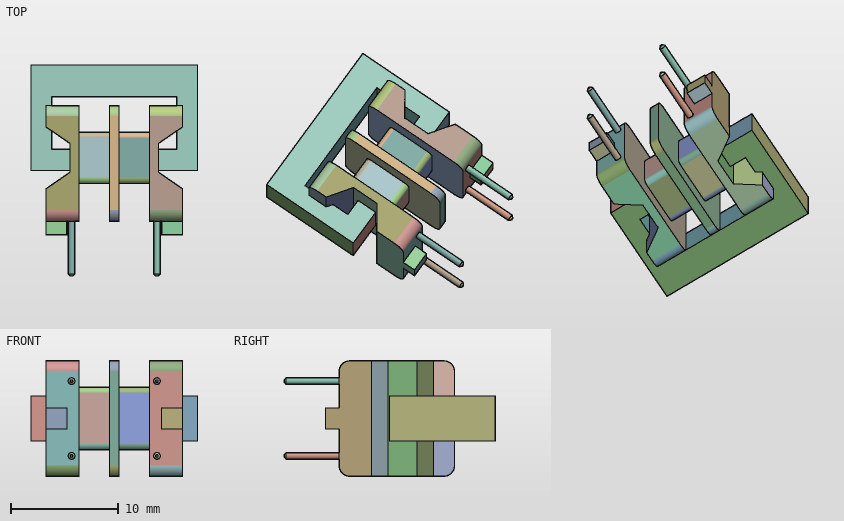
import cadquery as cq


overall_depth = 19.75

core_width = 15.6
core_height = 4.25
core_back = 14.62
core_front = 4.72
window_width = 11.65
window_back = 11.61
window_front = 6.73

flange_size = 10.8
flange_radius = 1.0
flange_outer = 6.38
flange_inner = 3.28
middle_flange_thickness = 0.9

notch_floor = 4.15
notch_center = 5.92
notch_mouth = 5.77
notch_floor_length = 2.69

tube_depth = 4.82
tube_height = 5.85
tube_radius = 0.53

tab_width = 1.95
tab_height = 1.98
tab_length = 1.28
pin_diameter = 0.63
pin_length = overall_depth - core_back
pin_tip_chamfer = 0.2
pin_x = 3.99
pin_z = 3.5


def box_between(x_min, x_max, y_min, y_max, height):
    """Box centred on Z = 0 with the given X and Y limits."""
    return (
        cq.Workplane("XY")
        .box(x_max - x_min, y_max - y_min, height)
        .translate(((x_min + x_max) / 2, (y_min + y_max) / 2, 0))
    )


def make_core():
    frame = box_between(-core_width / 2, core_width / 2, core_front, core_back, core_height)
    window = box_between(-window_width / 2, window_width / 2, window_front, window_back, core_height)
    return frame.cut(window)


def make_flange(x_min, x_max):
    plate = box_between(x_min, x_max, 0, flange_size, flange_size)
    return plate.edges("|X").fillet(flange_radius)


def make_end_flange():
    """Right-hand end flange with its notch and locating tab."""
    notch = (
        cq.Workplane("XY")
        .workplane(offset=-flange_size / 2)
        .polyline([
            (flange_outer, notch_center - notch_mouth / 2),
            (notch_floor, notch_center - notch_floor_length / 2),
            (notch_floor, notch_center + notch_floor_length / 2),
            (flange_outer, notch_center + notch_mouth / 2),
        ])
        .close()
        .extrude(flange_size)
    )
    tab = box_between(flange_outer - tab_width, flange_outer, -tab_length, 0, tab_height)
    return make_flange(flange_inner, flange_outer).cut(notch).union(tab)


def make_tube():
    tube = box_between(
        -flange_inner,
        flange_inner,
        notch_center - tube_depth / 2,
        notch_center + tube_depth / 2,
        tube_height,
    )
    return tube.edges("|X").fillet(tube_radius)


def make_pins():
    """Four pins pointing forward from the end flanges, with chamfered tips."""
    return (
        cq.Workplane("XZ")
        .rect(2 * pin_x, 2 * pin_z, forConstruction=True)
        .vertices()
        .circle(pin_diameter / 2)
        .extrude(pin_length)
        .faces("<Y")
        .edges()
        .chamfer(pin_tip_chamfer)
    )


end_flange = make_end_flange()
middle_flange = make_flange(-middle_flange_thickness / 2, middle_flange_thickness / 2)

result = (
    make_tube()
    .union(middle_flange)
    .union(end_flange)
    .union(end_flange.mirror("YZ"))
    .union(make_core())
    .union(make_pins())
)